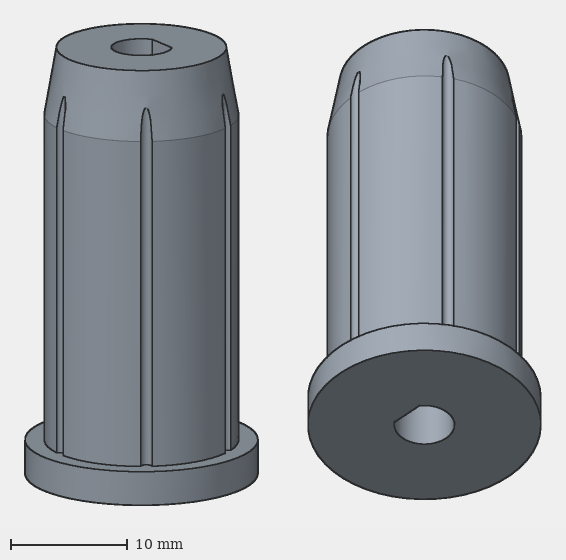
import cadquery as cq

total_height = 38.0
flange_diameter = 20.0
flange_height = 3.0

body_diameter = 16.7
nose_diameter = 14.6
nose_height = 6.0

groove_count = 6
groove_radius = 0.5
first_groove_angle = 90.0

bore_diameter = 5.15
flat_offset = 2.1


def make_body():
    """Revolve the flange, straight body and tapered nose as one profile."""
    flange_radius = flange_diameter / 2
    body_radius = body_diameter / 2
    profile = [
        (0, 0),
        (flange_radius, 0),
        (flange_radius, flange_height),
        (body_radius, flange_height),
        (body_radius, total_height - nose_height),
        (nose_diameter / 2, total_height),
        (0, total_height),
    ]
    return cq.Workplane("XZ").polyline(profile).close().revolve(360, (0, 0), (0, 1))


def make_grooves():
    """Cutters running from the flange up through the tapered nose."""
    return (
        cq.Workplane("XY", origin=(0, 0, flange_height))
        .polarArray(body_diameter / 2, first_groove_angle, 360, groove_count)
        .circle(groove_radius)
        .extrude(total_height - flange_height)
    )


def make_bore():
    """Round cutter trimmed by a flat facing the axis."""
    cylinder = cq.Workplane("XY").circle(bore_diameter / 2).extrude(total_height)
    beyond_flat = (
        cq.Workplane("XY", origin=(0, flat_offset, 0))
        .rect(bore_diameter, bore_diameter)
        .extrude(total_height)
        .translate((0, bore_diameter / 2, 0))
    )
    return cylinder.cut(beyond_flat)


result = make_body().cut(make_grooves()).cut(make_bore())